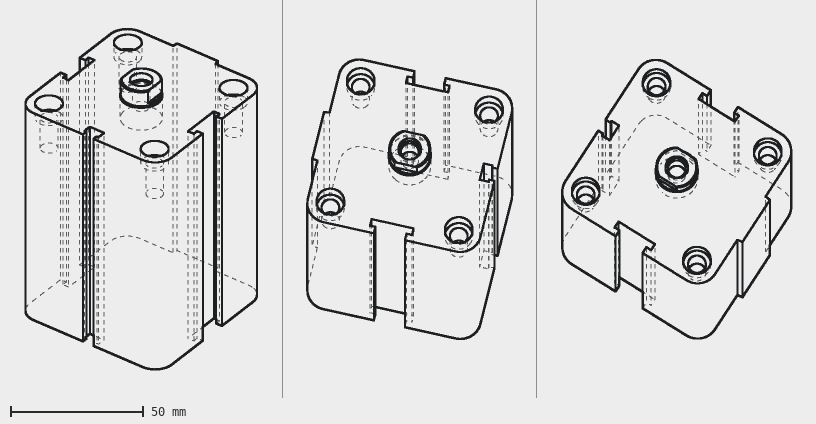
import cadquery as cq

total_height = 103.0
rod_protrusion = 7.4

width = 67.0
housing_height = total_height - rod_protrusion
corner_radius = 7.8

pad_height = 2.1
pad_base_width = 19.9
pad_top_width = 19.3

front_mouth_width = 5.0
front_inner_width = 6.7
front_lip = 2.2
front_slot_depth = 5.6
side_mouth_width = 12.0
side_inner_width = 16.3
side_lip = 2.7
side_slot_depth = 5.4

hole_pitch = 49.7
hole_diameter = 6.7
counterbore_diameter = 10.5
counterbore_depth = 6.6
screw_hole_depth = 20.6

shaft_diameter = 16.0
shaft_protrusion = 0.6
seat_depth = 10.3
head_diameter = 15.6
head_chamfer = 0.4
shoulder_chamfer = (shaft_diameter - head_diameter) / 2
flat_width = 13.0
flat_height = 5.7

thread_diameter = 6.7
thread_mouth_diameter = 8.4
thread_mouth_depth = 3.0
thread_depth = 12.4


def side_pad():
    """Trapezoidal pad running up the +Y face."""
    base_y = width / 2
    top_y = base_y + pad_height
    outline = [
        (-pad_base_width / 2, 0),
        (pad_base_width / 2, 0),
        (pad_base_width / 2, base_y),
        (pad_top_width / 2, top_y),
        (-pad_top_width / 2, top_y),
        (-pad_base_width / 2, base_y),
    ]
    return cq.Workplane("XY").polyline(outline).close().extrude(housing_height)


def t_slot(mouth_width, inner_width, lip, depth, angle):
    """T-slot cutter for the -Y face, turned about Z by the given angle."""
    mouth = cq.Workplane("XY").rect(mouth_width, 2 * depth).extrude(housing_height)
    inner_depth = depth - lip
    inner = (
        cq.Workplane("XY")
        .center(0, lip + inner_depth / 2)
        .rect(inner_width, inner_depth)
        .extrude(housing_height)
    )
    slot = mouth.union(inner).translate((0, -width / 2, 0))
    return slot.rotate((0, 0, 0), (0, 0, 1), angle)


def make_housing():
    """Block with rounded corners, side pad, T-slots, screw holes and the rod seat."""
    block = (
        cq.Workplane("XY")
        .rect(width, width)
        .extrude(housing_height)
        .edges("|Z")
        .fillet(corner_radius)
        .union(side_pad())
    )

    block = block.cut(t_slot(front_mouth_width, front_inner_width, front_lip, front_slot_depth, 0))
    for angle in (90, -90):
        block = block.cut(t_slot(side_mouth_width, side_inner_width, side_lip, side_slot_depth, angle))

    block = (
        block.faces(">Z")
        .workplane(origin=(0, 0, 0))
        .rect(hole_pitch, hole_pitch, forConstruction=True)
        .vertices()
        .cboreHole(hole_diameter, counterbore_diameter, counterbore_depth, screw_hole_depth)
    )
    return block.faces(">Z").workplane(origin=(0, 0, 0)).hole(shaft_diameter, seat_depth)


def flats_cutter():
    """Material outside the two wrench flats, which face -X and +X."""
    return (
        cq.Workplane("XY")
        .workplane(offset=total_height - flat_height)
        .rect(2 * shaft_diameter, 2 * shaft_diameter)
        .rect(flat_width, 2 * shaft_diameter)
        .extrude(flat_height)
    )


def make_rod():
    """Shaft and head with two wrench flats and a threaded hole in the end."""
    shaft = (
        cq.Workplane("XY")
        .workplane(offset=housing_height - seat_depth)
        .circle(shaft_diameter / 2)
        .extrude(seat_depth + shaft_protrusion)
        .faces(">Z")
        .chamfer(shoulder_chamfer)
    )
    head = (
        cq.Workplane("XY")
        .workplane(offset=housing_height)
        .circle(head_diameter / 2)
        .extrude(rod_protrusion)
        .faces(">Z")
        .chamfer(head_chamfer)
    )
    rod = shaft.union(head).cut(flats_cutter())

    return (
        rod.faces(">Z")
        .workplane(origin=(0, 0, 0))
        .cboreHole(thread_diameter, thread_mouth_diameter, thread_mouth_depth, thread_depth)
    )


housing = make_housing()
rod = make_rod()

result = cq.Compound.makeCompound([housing.val(), rod.val()])